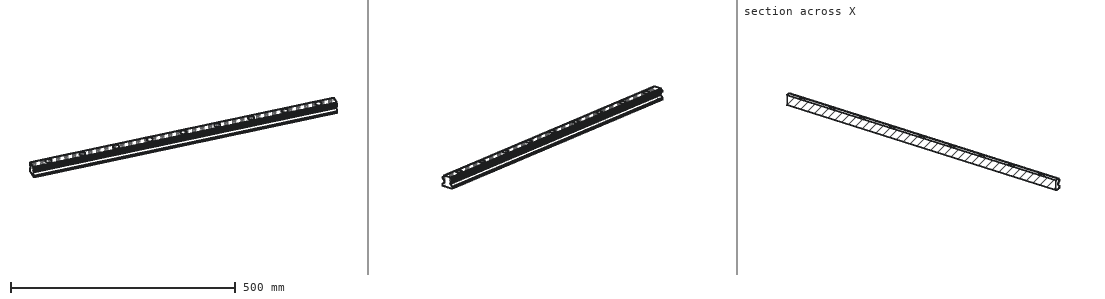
import cadquery as cq

LENGTH = 720.0
WIDTH = 28.0
HEIGHT = 26.0

FOOT_EDGE_HEIGHT = 5.0
WAIST_HALF_WIDTH = 9.0
WAIST_TOP = 13.5

NOSE_BOTTOM = 18.8
NOSE_TOP = 20.8
TOP_HALF_WIDTH = 9.8
TRACK_DEPTH = 0.8
LOWER_LAND = 1.6
UPPER_OUTER_LAND = 1.4
UPPER_INNER_LAND = 1.4
UPPER_INNER_LEAN = 0.4

RECESS_PITCH = 80.0
RECESS_COUNT = int(LENGTH / RECESS_PITCH)
RECESS_DIAMETER = 14.0
RECESS_DEPTH = 0.2


def make_half_rail():
    """Extrude the +X half of the rail section along Y, centred on Y = 0."""
    half_width = WIDTH / 2
    waist_bottom = FOOT_EDGE_HEIGHT + half_width - WAIST_HALF_WIDTH
    return (
        cq.Workplane("XZ")
        .lineTo(half_width, 0)
        .lineTo(half_width, FOOT_EDGE_HEIGHT)
        .lineTo(WAIST_HALF_WIDTH, waist_bottom)
        .lineTo(WAIST_HALF_WIDTH, WAIST_TOP)
        .line(LOWER_LAND, LOWER_LAND)
        .sagittaArc((half_width - LOWER_LAND, NOSE_BOTTOM - LOWER_LAND), TRACK_DEPTH)
        .lineTo(half_width, NOSE_BOTTOM)
        .lineTo(half_width, NOSE_TOP)
        .line(-UPPER_OUTER_LAND, UPPER_OUTER_LAND)
        .sagittaArc((TOP_HALF_WIDTH + UPPER_INNER_LEAN, HEIGHT - UPPER_INNER_LAND), TRACK_DEPTH)
        .lineTo(TOP_HALF_WIDTH, HEIGHT)
        .lineTo(0, HEIGHT)
        .close()
        .extrude(LENGTH / 2, both=True)
    )


def make_rail():
    """Join the half section to its mirror image about X = 0."""
    half = make_half_rail()
    return half.union(half.mirror("YZ")).clean()


def make_recesses():
    """Build the row of discs to remove from the top face, centred along the rail."""
    return (
        cq.Workplane("XY", origin=(0, 0, HEIGHT - RECESS_DEPTH))
        .rarray(1, RECESS_PITCH, 1, RECESS_COUNT)
        .circle(RECESS_DIAMETER / 2)
        .extrude(RECESS_DEPTH)
    )


result = make_rail().cut(make_recesses())